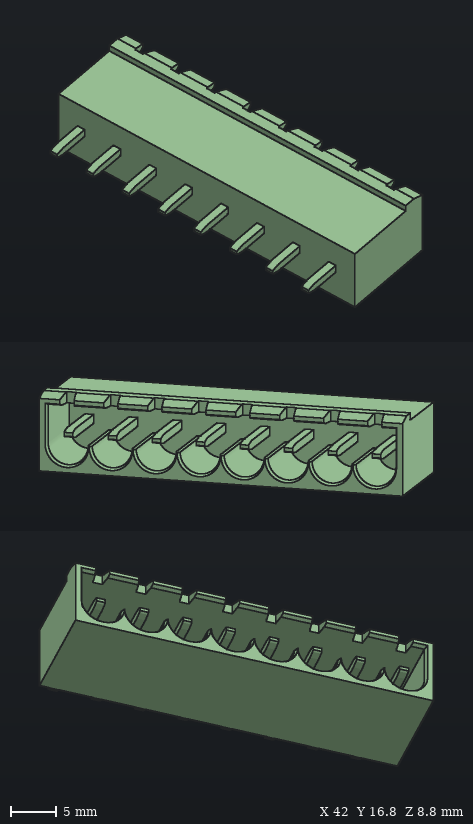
import cadquery as cq

body_length = 41.95
body_depth = 12.0
body_height = 8.0
ridge_height = 0.8
ridge_depth = 3.0
bevel_depth = 1.55
bevel_drop = 0.55
total_height = body_height + ridge_height

pin_count = 8
pin_pitch = 5.07
pin_size = 1.0
pin_axis_z = 4.25
pin_reach = 4.82
taper_length = 0.85
taper_inset = 0.15
nose_length = 0.25
nose_inset = 0.13

cavity_depth = 8.6
cavity_ceiling_z = 7.55
scallop_radius = 2.3
scallop_axis_z = 3.15
flare_width = 0.2
flare_depth = 0.5
pin_setback = 0.65

slot_mouth_width = 1.65
slot_end_width = 1.1
slot_depth = 1.75

front_y = -body_depth / 2
back_y = body_depth / 2
pin_positions = [(index - (pin_count - 1) / 2) * pin_pitch for index in range(pin_count)]


def make_body():
    """Block with a bevelled ridge along its top +Y edge."""
    ridge_y = back_y - ridge_depth
    return (
        cq.Workplane("YZ")
        .moveTo(front_y, 0)
        .lineTo(back_y, 0)
        .lineTo(back_y, total_height - bevel_drop)
        .lineTo(back_y - bevel_depth, total_height)
        .lineTo(ridge_y, total_height)
        .lineTo(ridge_y, body_height)
        .lineTo(front_y, body_height)
        .close()
        .extrude(body_length / 2, both=True)
    )


def cavity_outline(workplane, growth):
    """Cavity section across Y, grown outwards by the given amount."""
    radius = scallop_radius + growth
    ceiling_z = cavity_ceiling_z + growth
    outline = workplane.moveTo(pin_positions[0] - radius, ceiling_z)
    for x in pin_positions:
        outline = outline.lineTo(x - radius, scallop_axis_z)
        outline = outline.threePointArc((x, scallop_axis_z - radius), (x + radius, scallop_axis_z))
    return outline.lineTo(pin_positions[-1] + radius, ceiling_z).close()


def make_cavity():
    """Straight plug cavity with a flared mouth in the +Y face."""
    face = cq.Workplane("XZ", origin=(0, back_y, 0))
    straight = cavity_outline(face, 0).extrude(cavity_depth)
    mouth = cavity_outline(face, flare_width)
    flare = cavity_outline(mouth.workplane(offset=flare_depth), 0).loft(ruled=True)
    return straight.union(flare)


def make_slot():
    """Coding slot from the cavity up through the ridge, narrowing from its mouth."""
    mouth_half = slot_mouth_width / 2
    end_half = slot_end_width / 2
    end_y = back_y - slot_depth
    return (
        cq.Workplane("XY", origin=(0, 0, pin_axis_z))
        .moveTo(-mouth_half, back_y)
        .lineTo(-end_half, end_y)
        .lineTo(end_half, end_y)
        .lineTo(mouth_half, back_y)
        .close()
        .extrude(total_height - pin_axis_z)
    )


def make_pin():
    """Square pin through the block, its upper and lower sides tapered at both ends."""
    half = pin_size / 2
    shoulder = half - taper_inset
    tip = shoulder - nose_inset
    outer_end = front_y - pin_reach
    inner_end = back_y - pin_setback
    upper = [
        (outer_end, tip),
        (outer_end + nose_length, shoulder),
        (outer_end + nose_length + taper_length, half),
        (inner_end - nose_length - taper_length, half),
        (inner_end - nose_length, shoulder),
        (inner_end, tip),
    ]
    lower = [(y, -z) for y, z in reversed(upper)]
    return (
        cq.Workplane("YZ", origin=(0, 0, pin_axis_z))
        .polyline(upper + lower)
        .close()
        .extrude(half, both=True)
    )


result = make_body().cut(make_cavity())
slot = make_slot()
pin = make_pin()
for x in pin_positions:
    result = result.cut(slot.translate((x, 0, 0))).union(pin.translate((x, 0, 0)))